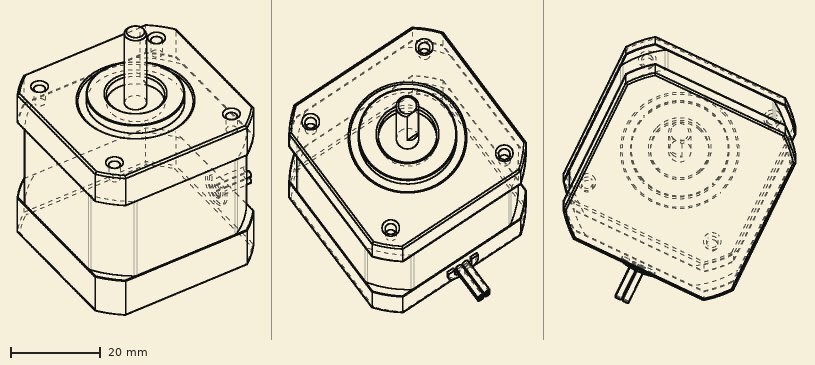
import cadquery as cq


body_width = 42.0
half_width = body_width / 2
cap_corner_radius = 26.5
rear_cap_height = 10.5
front_cap_bottom = 32.4
front_face_z = 40.95
cap_edge_chamfer = 0.5
cap_step = 0.15

stator_half_width = half_width - cap_step
stator_corner_radius = 24.75
stator_blend_radius = 1.2

pilot_radius = 11.0
pilot_top_z = front_face_z + 2.0
pilot_edge_chamfer = 0.2
groove_outer_radius = 13.25
groove_depth = 0.35
bore_radius = 6.5
bore_chamfer = 0.5
bore_depth = 2.7

shaft_radius = 2.5
shaft_top_z = 61.0
shaft_chamfer = 0.5
shaft_flat_offset = 2.0
shaft_flat_bottom_z = 45.8

hole_spacing = 31.0
hole_radius = 1.3
hole_mouth_radius = 1.95
hole_depth = 4.5

outlet_half_width = 4.0
outlet_slot_half_width = 2.3
outlet_thickness = 0.6
outlet_top_z = 7.55
bundle_z = 5.4
wire_radius = 0.75
wire_spacing = 1.75
total_depth = 50.6
wire_length = total_depth - body_width


def rounded_square(half_side, corner_radius, bottom_z, top_z):
    """Square prism whose corners are trimmed by a cylinder around the motor axis."""
    height = top_z - bottom_z
    square = cq.Workplane("XY", origin=(0, 0, bottom_z)).rect(2 * half_side, 2 * half_side).extrude(height)
    cylinder = cq.Workplane("XY", origin=(0, 0, bottom_z)).circle(corner_radius).extrude(height)
    return square.intersect(cylinder)


def make_body():
    rear_cap = rounded_square(half_width, cap_corner_radius, 0, rear_cap_height)
    rear_cap = rear_cap.faces("<Z").chamfer(cap_edge_chamfer)
    rear_cap = rear_cap.faces(">Z").chamfer(cap_step)
    front_cap = rounded_square(half_width, cap_corner_radius, front_cap_bottom, front_face_z)
    front_cap = front_cap.faces(">Z").chamfer(cap_edge_chamfer)
    front_cap = front_cap.faces("<Z").chamfer(cap_step)
    stator = rounded_square(stator_half_width, stator_corner_radius, rear_cap_height, front_cap_bottom)
    stator = stator.edges("|Z").fillet(stator_blend_radius)
    return rear_cap.union(stator).union(front_cap)


def disc(radius, bottom_z, top_z):
    return cq.Workplane("XY", origin=(0, 0, bottom_z)).circle(radius).extrude(top_z - bottom_z)


def countersink(mouth_radius, depth, top_z):
    """Cutter with a 45 degree wall that narrows downwards from its mouth."""
    return cq.Workplane("XY", origin=(0, 0, top_z)).circle(mouth_radius).extrude(-depth, taper=45)


def countersunk_hole(radius, chamfer, depth, top_z):
    return disc(radius, top_z - depth, top_z).union(countersink(radius + chamfer, chamfer, top_z))


def add_pilot(body):
    floor_z = front_face_z - groove_depth
    recess = countersink(groove_outer_radius, groove_depth, front_face_z)
    pilot = disc(pilot_radius, floor_z, pilot_top_z).faces(">Z").chamfer(pilot_edge_chamfer)
    bore = countersunk_hole(bore_radius, bore_chamfer, bore_depth, pilot_top_z)
    return body.cut(recess).union(pilot).cut(bore)


def cut_mounting_holes(body):
    hole = countersunk_hole(hole_radius, hole_mouth_radius - hole_radius, hole_depth, front_face_z)
    for x_side in (-1, 1):
        for y_side in (-1, 1):
            body = body.cut(hole.translate((x_side * hole_spacing / 2, y_side * hole_spacing / 2, 0)))
    return body


def make_shaft():
    shaft = disc(shaft_radius, pilot_top_z - bore_depth, shaft_top_z).faces(">Z").chamfer(shaft_chamfer)
    ramp = shaft_radius - shaft_flat_offset
    flat_profile = [
        (shaft_flat_offset, shaft_top_z),
        (shaft_flat_offset, shaft_flat_bottom_z),
        (shaft_radius, shaft_flat_bottom_z - ramp),
        (shaft_radius, shaft_top_z),
    ]
    flat = cq.Workplane("YZ").polyline(flat_profile).close().extrude(shaft_radius, both=True)
    return shaft.cut(flat)


def u_shape(radius, top_z, thickness):
    """Slab on the +Y face: half round below the bundle centre, straight sides up to top_z."""
    return (
        cq.Workplane("XZ", origin=(0, half_width, 0))
        .moveTo(-radius, top_z)
        .lineTo(-radius, bundle_z)
        .threePointArc((0, bundle_z - radius), (radius, bundle_z))
        .lineTo(radius, top_z)
        .close()
        .extrude(-thickness)
    )


def make_cable_outlet():
    plate = u_shape(outlet_half_width, outlet_top_z, outlet_thickness)
    slot = u_shape(outlet_slot_half_width, outlet_top_z, outlet_thickness)
    return plate.cut(slot)


def make_wires():
    return (
        cq.Workplane("XZ", origin=(0, half_width, 0))
        .center(0, bundle_z)
        .rect(wire_spacing, wire_spacing, forConstruction=True)
        .vertices()
        .circle(wire_radius)
        .extrude(-wire_length)
    )


motor = cut_mounting_holes(add_pilot(make_body()))
result = motor.union(make_shaft()).union(make_cable_outlet()).union(make_wires())